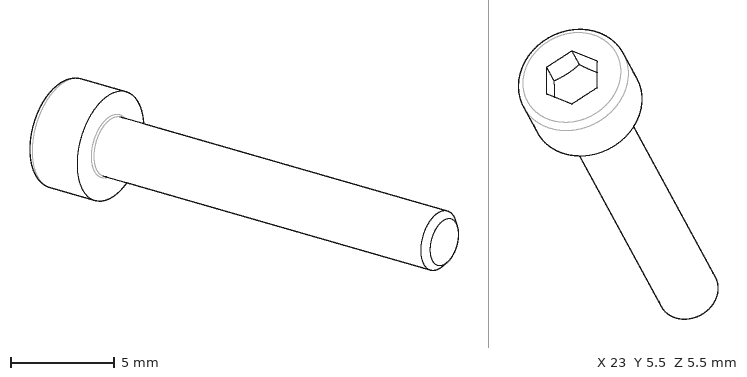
import cadquery as cq
import math

total_length = 23.0
head_diameter = 5.5
head_height = 3.0
shank_diameter = 3.0
head_round = 0.3
tip_chamfer = 0.32
neck_fillet = 0.1

socket_across_flats = 2.53
socket_depth = 1.45
socket_cone_angle = 120.0

head_face_x = -total_length / 2


def cylinder_along_x(diameter, length, start_x):
    return cq.Workplane("YZ", origin=(start_x, 0, 0)).circle(diameter / 2).extrude(length)


def make_body():
    head = cylinder_along_x(head_diameter, head_height, head_face_x)
    head = head.faces("<X").edges().fillet(head_round)
    shank = cylinder_along_x(shank_diameter, total_length, head_face_x)
    shank = shank.faces(">X").edges().chamfer(tip_chamfer)
    body = head.union(shank)
    under_head_x = head_face_x + head_height
    under_head = cq.selectors.BoxSelector(
        (under_head_x - neck_fillet, -head_diameter, -head_diameter),
        (under_head_x + neck_fillet, head_diameter, head_diameter),
        boundingbox=True,
    )
    neck = body.edges(under_head).edges(cq.selectors.RadiusNthSelector(0))
    return neck.fillet(neck_fillet)


def make_socket():
    across_corners = socket_across_flats / math.cos(math.pi / 6)
    cone_slope = math.tan(math.radians(socket_cone_angle / 2))
    tip_depth = socket_depth + across_corners / 2 / cone_slope
    envelope_radius = across_corners
    envelope_shoulder = tip_depth - envelope_radius / cone_slope
    hexagon = (
        cq.Workplane("YZ", origin=(head_face_x, 0, 0))
        .transformed(rotate=(0, 0, 90))
        .polygon(6, across_corners)
        .extrude(tip_depth)
    )
    envelope = (
        cq.Workplane("XY", origin=(head_face_x, 0, 0))
        .lineTo(0, envelope_radius)
        .lineTo(envelope_shoulder, envelope_radius)
        .lineTo(tip_depth, 0)
        .close()
        .revolve(360, (0, 0, 0), (1, 0, 0))
    )
    return hexagon.intersect(envelope)


result = make_body().cut(make_socket())